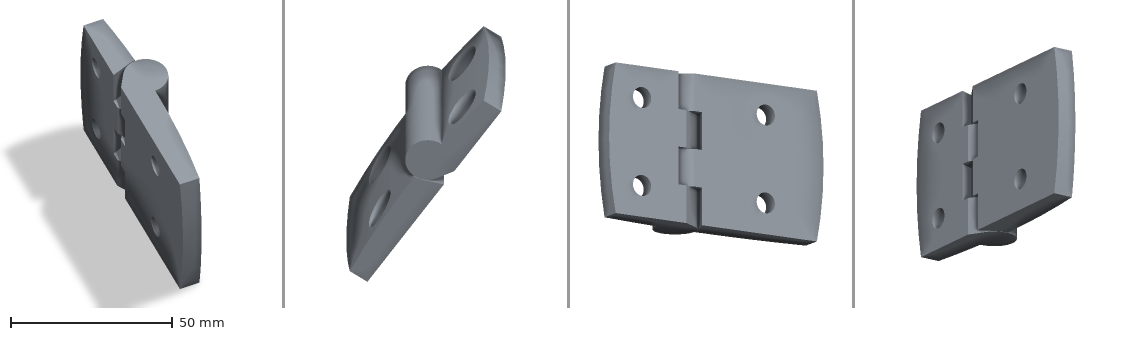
import cadquery as cq
import math

height = 48.0
overall_width = 78.0
crown_thickness = 9.1
edge_thickness = 6.3
axis_height = 9.0
end_bulge = 2.4
left_reach = 29.5
knuckle_radius = 7.0
clearance_radius = 7.2
knuckle_foot = 1.4
recess_foot = 4.25
knuckle_count = 4
pin_diameter = 6.0
hole_diameter = 6.6
countersink_diameter = 13.2
countersink_angle = 90.0
cone_overshoot = 1.0
hole_spacing = 28.0
left_hole_x = -17.5
right_hole_x = 27.5

right_reach = overall_width - left_reach
middle_x = (right_reach - left_reach) / 2
mount_y = -axis_height
crown_y = mount_y + crown_thickness
edge_y = mount_y + edge_thickness
crown_drop = crown_y - edge_y
crown_radius = ((overall_width / 2) ** 2 + crown_drop**2) / (2 * crown_drop)
knuckle_height = height / knuckle_count
half_height = height / 2
LEFT = -1
RIGHT = 1


def tangent_point(foot_x, radius):
    """Point where a line from (foot_x, mount_y) touches the -X side of a circle on the axis."""
    foot_angle = math.atan2(mount_y, foot_x)
    angle = foot_angle - math.acos(radius / math.hypot(foot_x, mount_y))
    return radius * math.cos(angle), radius * math.sin(angle)


def knuckle_prism(radius, foot_x, side):
    """One knuckle height of round barrel with a straight flank down to the mounting face.

    It stands on Z = 0. The right leaf has its flank on -X, and the left leaf is the mirror image.
    """
    touch_x, touch_y = tangent_point(foot_x, radius)
    prism = (
        cq.Workplane("XY")
        .moveTo(foot_x, mount_y)
        .lineTo(touch_x, touch_y)
        .threePointArc((0, radius), (knuckle_foot, -math.sqrt(radius**2 - knuckle_foot**2)))
        .lineTo(knuckle_foot, mount_y)
        .close()
        .extrude(knuckle_height)
    )
    return prism if side == RIGHT else prism.mirror("YZ")


def crowned_plate():
    """Plate of the whole open hinge: crowned outer face and bowed outer ends."""
    section = (
        cq.Workplane("XY")
        .workplane(offset=-half_height)
        .moveTo(-left_reach, mount_y)
        .lineTo(-left_reach, edge_y)
        .threePointArc((middle_x, crown_y), (right_reach, edge_y))
        .lineTo(right_reach, mount_y)
        .close()
        .extrude(height)
    )
    left_corner_x = end_bulge - left_reach
    right_corner_x = right_reach - end_bulge
    outline = (
        cq.Workplane("XZ", origin=(0, mount_y, 0))
        .moveTo(left_corner_x, -half_height)
        .threePointArc((-left_reach, 0), (left_corner_x, half_height))
        .lineTo(right_corner_x, half_height)
        .threePointArc((right_reach, 0), (right_corner_x, -half_height))
        .close()
        .extrude(-crown_thickness)
    )
    return section.intersect(outline)


def half_plate(side):
    """The part of the crowned plate that lies on one side, from the knuckle foot outward."""
    half_space = cq.Workplane("XY").box(overall_width, height, height)
    return crowned_plate().intersect(half_space.translate((side * (knuckle_foot + overall_width / 2), 0, 0)))


def crown_height(x):
    """Y of the crowned face at a given X."""
    return crown_y - crown_radius + math.sqrt(crown_radius**2 - (x - middle_x) ** 2)


def screw_hole(hole_x):
    """Cutter along Y for a through hole, with a cone that reaches full width at the crowned face."""
    radius_per_depth = math.tan(math.radians(countersink_angle / 2))
    hole_radius = hole_diameter / 2
    face_y = crown_height(hole_x)
    cone_start_y = face_y - (countersink_diameter / 2 - hole_radius) / radius_per_depth
    cone_end_y = face_y + cone_overshoot
    cone_end_radius = hole_radius + (cone_end_y - cone_start_y) * radius_per_depth
    return (
        cq.Workplane("XY")
        .moveTo(0, mount_y)
        .lineTo(hole_radius, mount_y)
        .lineTo(hole_radius, cone_start_y)
        .lineTo(cone_end_radius, cone_end_y)
        .lineTo(0, cone_end_y)
        .close()
        .revolve(360, (0, 0), (0, 1))
    )


def make_leaf(side, first_knuckle, hole_x):
    """Plate with every second knuckle, recesses for the facing knuckles, pin bore and screw holes."""
    leaf = half_plate(side)
    own_knuckle = knuckle_prism(knuckle_radius, knuckle_foot, side)
    facing_clearance = knuckle_prism(clearance_radius, -recess_foot, -side)
    for index in range(knuckle_count):
        lift = (0, 0, index * knuckle_height - half_height)
        if index % 2 == first_knuckle:
            leaf = leaf.union(own_knuckle.translate(lift))
        else:
            leaf = leaf.cut(facing_clearance.translate(lift))
    leaf = leaf.cut(make_pin())
    for hole_z in (-hole_spacing / 2, hole_spacing / 2):
        leaf = leaf.cut(screw_hole(hole_x).translate((hole_x, 0, hole_z)))
    return leaf


def make_pin():
    """Plain pin, flush with both ends of the knuckles."""
    return cq.Workplane("XY").circle(pin_diameter / 2).extrude(half_height, both=True)


left_leaf = make_leaf(LEFT, 0, left_hole_x)
right_leaf = make_leaf(RIGHT, 1, right_hole_x)
pin = make_pin()

result = cq.Compound.makeCompound([left_leaf.val(), right_leaf.val(), pin.val()])